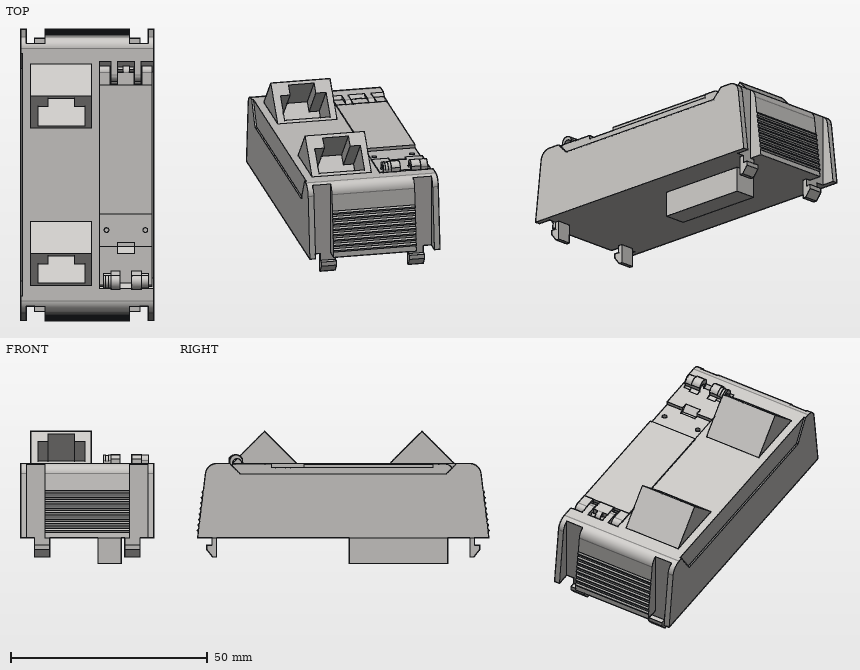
import cadquery as cq
import math

WIDTH = 34.0
HEIGHT = 18.95
BASE_HALF_LENGTH = 37.1
TOP_HALF_LENGTH = 34.8
TOP_EDGE_RADIUS = 3.0

SIDE_PLATE = 1.5
RECESS_INNER_X = 10.8
RECESS_WALL_Y = 33.45

RIB_COUNT = 8
LOWEST_RIB_Z = 1.85
HIGHEST_RIB_Z = 11.6
RIB_PITCH = (HIGHEST_RIB_Z - LOWEST_RIB_Z) / (RIB_COUNT - 1)
RIB_HALF_HEIGHT = 0.45
RIB_PROTRUSION = 0.3

HOOK_INNER_X = 9.5
HOOK_OUTER_X = 13.45
HOOK_THICKNESS = 1.2
HOOK_NOSE = 1.35
HOOK_NOSE_TOP_Z = -1.85
HOOK_CHAMFER_TOP_Z = -3.0
HOOK_BOTTOM_Z = -4.9
HOOK_TIP_Y = 33.25

SIDE_RECESS_DEPTH = 0.45
SIDE_RECESS_HALF_LENGTH = 30.85
SIDE_RECESS_FLOOR_HALF_LENGTH = 27.1
SIDE_RECESS_BOTTOM_Z = 12.9

POCKET_START_X = 3.1
POCKET_HALF_LENGTH = 28.9
POCKET_DEPTH = 2.7
POCKET_FLOOR_Z = HEIGHT - POCKET_DEPTH

FINGERS_X = ((6.0, 7.65), (12.0, 13.7))
FINGER_FLAT_END_Y = 25.4
FINGER_NOSE_Y = 23.8
FINGER_NOSE_Z = 17.7
FINGER_TIP_Y = 23.1
FINGER_TIP_Z = 17.3

JACK_START_X = -14.4
JACK_END_X = 1.05
JACK_Y = (20.1, -20.0)
JACK_HALF_DIAGONAL = 8.2
PORT_DEPTH = 11.2
PORT_X = (-12.5, -0.6)
PORT_KEY_X = (-10.0, -3.3)
PORT_KEY_DROP = 0.7
PORT_STEP_DROP = 2.7
PORT_BOTTOM_DROP = 7.6

PLUG_X = (2.7, 8.7)
PLUG_Y = (1.5, 26.6)
PLUG_HEIGHT = 6.55

TERMINAL_SETBACK = 0.45
TERMINAL_END_X = WIDTH / 2 - TERMINAL_SETBACK
TERMINAL_TOP_Z = 18.75
SEAT_Z = 17.85
SEAT_END_Y = -18.3
END_CHAMFER = 0.9
ARM_END_Y = 27.8
ARM_END_RADIUS = 1.7
SLOT_END_Y = 22.9
SLOTS_X = ((5.8, 7.7), (11.9, 13.9))
MIDDLE_TONGUE_X = (9.15, 10.7)
AXLE_Y = (26.25, 26.85, 27.5)
AXLE_HEIGHT = 0.6
SCREW_HOLES_X = (4.9, 14.8)
SCREW_HOLE_Y = -14.05
SCREW_HOLE_RADIUS = 0.6
SCREW_HOLE_DEPTH = 1.1
WINDOW_X = (7.7, 12.0)
WINDOW_START_Y = -17.25
WINDOW_END_Y = -20.0
WINDOW_DEPTH = 0.45

HINGE_Y = -27.0
HINGE_Z = 19.0
HINGE_BORE_RADIUS = 1.1
KNUCKLES_X = ((6.1, 8.4), (11.3, 13.75))
KNUCKLE_ARCH = ((-29.15, 20.1), (-27.4, 21.2), (-25.65, 20.1))
KNUCKLE_TAIL_Y = -24.55
BARRELS_X = ((4.1, 6.1), (13.75, 15.6))
BARREL_ARCH = ((-28.85, 19.7), (-27.3, 21.1), (-25.65, 19.9))
BARREL_TAIL_Y = -25.1
LUG_TAIL_HEIGHT = 0.4
GROOVE_X = (4.6, 5.35)
GROOVE_DEPTH = 0.15
HINGE_NOTCH_Y = -27.5
HINGE_NOTCH_Z = 17.55

COVER_START_Y = -10.0
COVER_THICKNESS = 0.8


def block(x_range, y_range, z_range):
    """Box between the given limits."""
    size = [b - a for a, b in (x_range, y_range, z_range)]
    return cq.Workplane("XY").box(*size, centered=False).translate((x_range[0], y_range[0], z_range[0]))


def prism(yz_points, x_range):
    """Polygon in the YZ plane extruded over an X range."""
    return extruded(cq.Workplane("YZ").polyline(yz_points).close(), x_range)


def extruded(yz_sketch, x_range):
    """Closed YZ sketch extruded over an X range."""
    return yz_sketch.extrude(x_range[1] - x_range[0]).translate((x_range[0], 0, 0))


def cylinder_x(y, z, radius, x_range):
    """Cylinder along X."""
    return extruded(cq.Workplane("YZ").center(y, z).circle(radius), x_range)


def tapered_trough(top_half, floor_half, floor_z, x_range):
    """Trapezoid from the housing top down to a shorter floor."""
    points = [(-top_half, HEIGHT), (top_half, HEIGHT), (floor_half, floor_z), (-floor_half, floor_z)]
    return prism(points, x_range)


def terminal_pocket():
    """Space for the terminal, with end walls at 45 degrees."""
    floor_half = POCKET_HALF_LENGTH - POCKET_DEPTH
    return tapered_trough(POCKET_HALF_LENGTH, floor_half, POCKET_FLOOR_Z, (POCKET_START_X, WIDTH / 2))


def mirrored_both_ways(solid):
    """The solid at one corner together with its copies at the other three."""
    pair = solid.union(solid.mirror("YZ"))
    return pair.union(pair.mirror("XZ"))


def end_face_y(z):
    """Y of the sloping +Y end face at height z."""
    return BASE_HALF_LENGTH - (BASE_HALF_LENGTH - TOP_HALF_LENGTH) * z / HEIGHT


def housing_shell():
    outline = [
        (-BASE_HALF_LENGTH, 0),
        (BASE_HALF_LENGTH, 0),
        (TOP_HALF_LENGTH, HEIGHT),
        (-TOP_HALF_LENGTH, HEIGHT),
    ]
    shell = prism(outline, (-WIDTH / 2, WIDTH / 2))
    shell = shell.faces(">Z").edges("|X").fillet(TOP_EDGE_RADIUS)
    recess = block(
        (RECESS_INNER_X, WIDTH / 2 - SIDE_PLATE), (RECESS_WALL_Y, BASE_HALF_LENGTH), (0, HEIGHT)
    )
    return shell.cut(mirrored_both_ways(recess))


def grip_ribs():
    ribs = cq.Workplane("YZ")
    for index in range(RIB_COUNT):
        z = LOWEST_RIB_Z + index * RIB_PITCH
        low, high = z - RIB_HALF_HEIGHT, z + RIB_HALF_HEIGHT
        points = [
            (RECESS_WALL_Y, low),
            (end_face_y(low), low),
            (end_face_y(z) + RIB_PROTRUSION, z),
            (end_face_y(high), high),
            (RECESS_WALL_Y, high),
        ]
        ribs = ribs.add(prism(points, (-RECESS_INNER_X, RECESS_INNER_X)))
    one_end = ribs.combine()
    return one_end.union(one_end.mirror("XZ"))


def snap_hooks():
    inner_y = RECESS_WALL_Y - HOOK_THICKNESS
    nose_y = RECESS_WALL_Y + HOOK_NOSE
    points = [
        (inner_y, 0),
        (RECESS_WALL_Y, 0),
        (RECESS_WALL_Y, HOOK_NOSE_TOP_Z),
        (nose_y, HOOK_NOSE_TOP_Z),
        (nose_y, HOOK_CHAMFER_TOP_Z),
        (HOOK_TIP_Y, HOOK_BOTTOM_Z),
        (inner_y, HOOK_BOTTOM_Z),
    ]
    return mirrored_both_ways(prism(points, (HOOK_INNER_X, HOOK_OUTER_X)))


def side_recess():
    x_range = (-WIDTH / 2, -WIDTH / 2 + SIDE_RECESS_DEPTH)
    return tapered_trough(
        SIDE_RECESS_HALF_LENGTH, SIDE_RECESS_FLOOR_HALF_LENGTH, SIDE_RECESS_BOTTOM_Z, x_range
    )


def finger(x_range):
    """Finger from the +Y wall of the pocket, with a rounded nose and a sloping foot."""
    nose_drop = HEIGHT - FINGER_NOSE_Z
    nose_length = FINGER_FLAT_END_Y - FINGER_NOSE_Y
    middle = (
        FINGER_FLAT_END_Y - nose_length * math.sqrt(0.5),
        FINGER_NOSE_Z + nose_drop * math.sqrt(0.5),
    )
    outline = (
        cq.Workplane("YZ")
        .moveTo(POCKET_HALF_LENGTH, HEIGHT)
        .lineTo(FINGER_FLAT_END_Y, HEIGHT)
        .threePointArc(middle, (FINGER_NOSE_Y, FINGER_NOSE_Z))
        .lineTo(FINGER_TIP_Y, FINGER_TIP_Z)
        .lineTo(FINGER_TIP_Y, POCKET_FLOOR_Z)
        .lineTo(POCKET_HALF_LENGTH, POCKET_FLOOR_Z)
        .close()
    )
    return extruded(outline, x_range)


def jack_box(y):
    points = [
        (y, HEIGHT + JACK_HALF_DIAGONAL),
        (y + JACK_HALF_DIAGONAL, HEIGHT),
        (y, HEIGHT - JACK_HALF_DIAGONAL),
        (y - JACK_HALF_DIAGONAL, HEIGHT),
    ]
    return prism(points, (JACK_START_X, JACK_END_X))


def make_housing():
    body = housing_shell().union(grip_ribs()).union(snap_hooks())
    body = body.cut(side_recess()).cut(terminal_pocket())
    for x_range in FINGERS_X:
        body = body.union(finger(x_range))
    for y in JACK_Y:
        body = body.cut(jack_box(y))
    return body


def port_cut(y, x_range, top_drop):
    """Slot square to the -Y slope of a jack, from a drop below its top edge to the port bottom."""
    top = (y - top_drop, HEIGHT + JACK_HALF_DIAGONAL - top_drop)
    bottom = (y - PORT_BOTTOM_DROP, HEIGHT + JACK_HALF_DIAGONAL - PORT_BOTTOM_DROP)
    inward = PORT_DEPTH * math.sqrt(0.5)
    inner_points = [(point[0] + inward, point[1] - inward) for point in (bottom, top)]
    return prism([top, bottom, *inner_points], x_range)


def make_jack(y):
    wide_part = port_cut(y, PORT_X, PORT_STEP_DROP)
    key_part = port_cut(y, PORT_KEY_X, PORT_KEY_DROP)
    return jack_box(y).cut(wide_part).cut(key_part)


def make_plug():
    return block(PLUG_X, PLUG_Y, (-PLUG_HEIGHT, 0))


def terminal_block():
    """Pocket filling with a rounded +Y end, a chamfered -Y end and a lower seat between them."""
    arc_drop = ARM_END_RADIUS * (1 - math.sqrt(0.5))
    outline = (
        cq.Workplane("YZ")
        .moveTo(ARM_END_Y, POCKET_FLOOR_Z)
        .lineTo(ARM_END_Y, TERMINAL_TOP_Z - ARM_END_RADIUS)
        .threePointArc(
            (ARM_END_Y - arc_drop, TERMINAL_TOP_Z - arc_drop),
            (ARM_END_Y - ARM_END_RADIUS, TERMINAL_TOP_Z),
        )
        .lineTo(SLOT_END_Y, TERMINAL_TOP_Z)
        .lineTo(SLOT_END_Y, SEAT_Z)
        .lineTo(SEAT_END_Y, SEAT_Z)
        .lineTo(SEAT_END_Y, TERMINAL_TOP_Z)
        .lineTo(-POCKET_HALF_LENGTH + END_CHAMFER, TERMINAL_TOP_Z)
        .lineTo(-POCKET_HALF_LENGTH, TERMINAL_TOP_Z - END_CHAMFER)
        .lineTo(-POCKET_HALF_LENGTH, POCKET_FLOOR_Z)
        .close()
    )
    filling = extruded(outline, (POCKET_START_X, TERMINAL_END_X))
    return filling.intersect(terminal_pocket())


def arm_slots():
    """Two slots for the housing fingers and the cut-backs beside the middle tongue."""
    slots = cq.Workplane("XY")
    z_range = (POCKET_FLOOR_Z, HEIGHT)
    for x_range in SLOTS_X:
        slots = slots.add(block(x_range, (SLOT_END_Y, POCKET_HALF_LENGTH), z_range))
    arm_flat_end_y = ARM_END_Y - ARM_END_RADIUS
    for x_range in tongue_sides():
        slots = slots.add(block(x_range, (arm_flat_end_y, POCKET_HALF_LENGTH), z_range))
    return slots.combine()


def tongue_sides():
    """X ranges of the gaps on both sides of the middle tongue."""
    return (SLOTS_X[0][1], MIDDLE_TONGUE_X[0]), (MIDDLE_TONGUE_X[1], SLOTS_X[1][0])


def ridged_axle():
    """Ridge-topped bar across the middle tongue."""
    back_y, ridge_y, front_y = AXLE_Y
    shoulder_z = TERMINAL_TOP_Z - 2 * AXLE_HEIGHT
    points = [
        (back_y, shoulder_z - AXLE_HEIGHT),
        (back_y, shoulder_z),
        (ridge_y, shoulder_z + AXLE_HEIGHT),
        (front_y, shoulder_z),
        (front_y, shoulder_z - AXLE_HEIGHT),
    ]
    return prism(points, (SLOTS_X[0][1], SLOTS_X[1][0]))


def screw_holes():
    centers = [(x, SCREW_HOLE_Y) for x in SCREW_HOLES_X]
    plane = cq.Workplane("XY", origin=(0, 0, SEAT_Z))
    return plane.pushPoints(centers).circle(SCREW_HOLE_RADIUS).extrude(-SCREW_HOLE_DEPTH)


def window():
    """Notch with a flat floor that ramps up through the raised end."""
    floor_z = SEAT_Z - WINDOW_DEPTH
    points = [
        (WINDOW_START_Y, TERMINAL_TOP_Z),
        (WINDOW_START_Y, floor_z),
        (SEAT_END_Y, floor_z),
        (WINDOW_END_Y, TERMINAL_TOP_Z),
    ]
    return prism(points, WINDOW_X)


def hinge_lug(x_range, arch, tail_y):
    """Upright lug with an arched top and a low sloping tail; the arch is front, crest and back."""
    front, crest, back = arch
    outline = (
        cq.Workplane("YZ")
        .moveTo(front[0], HINGE_NOTCH_Z)
        .lineTo(*front)
        .threePointArc(crest, back)
        .lineTo(back[0], TERMINAL_TOP_Z + LUG_TAIL_HEIGHT)
        .lineTo(tail_y, TERMINAL_TOP_Z)
        .lineTo(tail_y, HINGE_NOTCH_Z)
        .close()
    )
    return extruded(outline, x_range)


def barrel_groove():
    """Shallow groove over the arch of the left barrel."""
    groove_arch = [(y, z - GROOVE_DEPTH) for y, z in BARREL_ARCH]
    groove_base = hinge_lug(GROOVE_X, groove_arch, BARREL_TAIL_Y)
    return hinge_lug(GROOVE_X, BARREL_ARCH, BARREL_TAIL_Y).cut(groove_base)


def hinge():
    """Two knuckles, each with a smaller barrel on its outer side, bored through in line."""
    lugs = cq.Workplane("YZ")
    for x_range in KNUCKLES_X:
        lugs = lugs.add(hinge_lug(x_range, KNUCKLE_ARCH, KNUCKLE_TAIL_Y))
    for x_range in BARRELS_X:
        lugs = lugs.add(hinge_lug(x_range, BARREL_ARCH, BARREL_TAIL_Y))
    lugs = lugs.combine().cut(barrel_groove())
    bore_range = (BARRELS_X[0][0], BARRELS_X[1][1])
    return lugs.cut(cylinder_x(HINGE_Y, HINGE_Z, HINGE_BORE_RADIUS, bore_range))


def hinge_notch():
    """Gap between the two knuckles at the -Y end."""
    x_range = (KNUCKLES_X[0][1], KNUCKLES_X[1][0])
    return block(x_range, (-POCKET_HALF_LENGTH, HINGE_NOTCH_Y), (HINGE_NOTCH_Z, HEIGHT))


def make_terminal(housing):
    body = terminal_block().cut(arm_slots()).union(ridged_axle())
    body = body.cut(screw_holes()).cut(window()).cut(hinge_notch()).union(hinge())
    return body.cut(housing)


def make_cover():
    """Plate in the seat, against the arms at its +Y end."""
    z_range = (SEAT_Z, SEAT_Z + COVER_THICKNESS)
    return block((POCKET_START_X, TERMINAL_END_X), (COVER_START_Y, SLOT_END_Y), z_range)


housing = make_housing()
jacks = [make_jack(y) for y in JACK_Y]
plug = make_plug()
terminal = make_terminal(housing)
cover = make_cover()

bodies = [housing, *jacks, plug, terminal, cover]
result = cq.Compound.makeCompound([body.solids().val() for body in bodies])